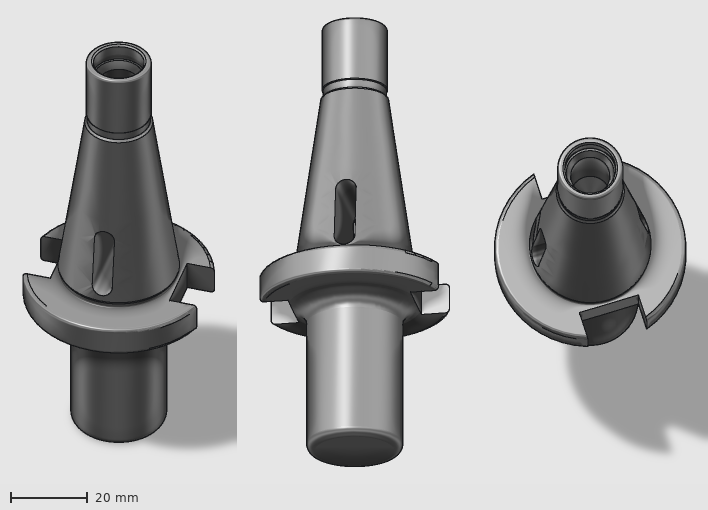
import cadquery as cq
import math

total_height = 118.4

shank_radius = 12.5
shank_end_fillet = 2.1
root_fillet = 4.9

flange_radius = 25.0
flange_bottom = 40.4
flange_top = 48.4
flange_fillet = 1.1
notch_width = 16.1
notch_inner_distance = 16.2

taper_bottom = 50.4
taper_top = 98.3
taper_large_radius = 15.9
taper_small_radius = taper_large_radius - (taper_top - taper_bottom) * 7 / 24 / 2
relief_radius = 15.5
relief_fillet = 0.5
relief_chamfer_height = 0.7

pilot_radius = 8.5
pilot_bottom = 101.2
pilot_fillet = 0.8
neck_radius = 8.3
neck_chamfer_height = 0.6

slot_width = 5.5
slot_bottom = 52.1
slot_top = 71.3

mouth_radius = 7.1
counterbore_radius = 6.6
mouth_depth = mouth_radius - counterbore_radius
undercut_radius = 6.9
undercut_start_depth = 3.2
undercut_full_depth = 4.1
counterbore_depth = 4.7
seat_radius = 6.3
drill_radius = 5.1
drill_depth = 23.7
seat_angle = 30.0
drill_point_angle = 59.0


def make_body():
    """Revolve the outer outline about Z; each inset locates the middle of a quarter arc."""
    arc_share = 1 - math.sqrt(0.5)
    end_inset = shank_end_fillet * arc_share
    root_inset = root_fillet * arc_share
    flange_inset = flange_fillet * arc_share
    pilot_inset = pilot_fillet * arc_share
    relief_inset = relief_fillet * arc_share
    outline = (
        cq.Workplane("XZ")
        .lineTo(shank_radius - shank_end_fillet, 0)
        .threePointArc((shank_radius - end_inset, end_inset), (shank_radius, shank_end_fillet))
        .lineTo(shank_radius, flange_bottom - root_fillet)
        .threePointArc(
            (shank_radius + root_inset, flange_bottom - root_inset),
            (shank_radius + root_fillet, flange_bottom),
        )
        .lineTo(flange_radius - flange_fillet, flange_bottom)
        .threePointArc(
            (flange_radius - flange_inset, flange_bottom + flange_inset),
            (flange_radius, flange_bottom + flange_fillet),
        )
        .lineTo(flange_radius, flange_top - flange_fillet)
        .threePointArc(
            (flange_radius - flange_inset, flange_top - flange_inset),
            (flange_radius - flange_fillet, flange_top),
        )
        .lineTo(relief_radius + relief_fillet, flange_top)
        .threePointArc(
            (relief_radius + relief_inset, flange_top + relief_inset),
            (relief_radius, flange_top + relief_fillet),
        )
        .lineTo(relief_radius, taper_bottom - relief_chamfer_height)
        .lineTo(taper_large_radius, taper_bottom)
        .lineTo(taper_small_radius, taper_top)
        .lineTo(neck_radius, taper_top + neck_chamfer_height)
        .lineTo(neck_radius, pilot_bottom - (pilot_radius - neck_radius))
        .lineTo(pilot_radius, pilot_bottom)
        .lineTo(pilot_radius, total_height - pilot_fillet)
        .threePointArc(
            (pilot_radius - pilot_inset, total_height - pilot_inset),
            (pilot_radius - pilot_fillet, total_height),
        )
        .lineTo(0, total_height)
        .close()
    )
    return outline.revolve(360, (0, 0, 0), (0, 1, 0))


def make_notches():
    """Two drive notches on the X sides, cut through the flange and the root fillet below it."""
    depth = flange_radius - notch_inner_distance
    bottom = flange_bottom - root_fillet
    return (
        cq.Workplane("XY", origin=(0, 0, bottom))
        .pushPoints([(side * (notch_inner_distance + depth / 2), 0) for side in (-1, 1)])
        .rect(depth, notch_width)
        .extrude(flange_top - bottom)
    )


def make_cross_slot():
    """Round-ended slot running through the taper along Y."""
    return (
        cq.Workplane("XZ", origin=(0, 0, (slot_bottom + slot_top) / 2))
        .slot2D(slot_top - slot_bottom, slot_width, 90)
        .extrude(taper_large_radius, both=True)
    )


def make_bore():
    """Countersunk counterbore with an undercut floor, conical seat and a drilled hole with a pointed end."""
    seat_height = (seat_radius - drill_radius) / math.tan(math.radians(seat_angle))
    point_height = drill_radius / math.tan(math.radians(drill_point_angle))
    outline = (
        cq.Workplane("XZ")
        .moveTo(0, total_height)
        .lineTo(mouth_radius, total_height)
        .lineTo(counterbore_radius, total_height - mouth_depth)
        .lineTo(counterbore_radius, total_height - undercut_start_depth)
        .lineTo(undercut_radius, total_height - undercut_full_depth)
        .lineTo(undercut_radius, total_height - counterbore_depth)
        .lineTo(seat_radius, total_height - counterbore_depth)
        .lineTo(drill_radius, total_height - counterbore_depth - seat_height)
        .lineTo(drill_radius, total_height - drill_depth)
        .lineTo(0, total_height - drill_depth - point_height)
        .close()
    )
    return outline.revolve(360, (0, 0, 0), (0, 1, 0))


result = make_body().cut(make_notches()).cut(make_cross_slot()).cut(make_bore())